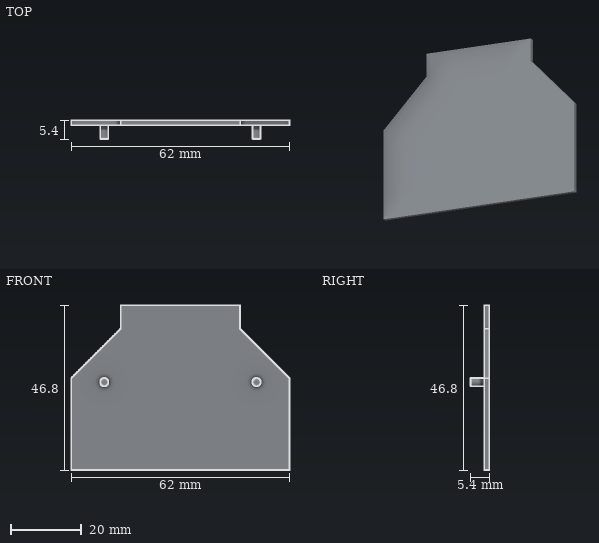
import cadquery as cq

plate_width = 62.0
plate_height = 46.8
plate_thickness = 1.5
tab_width = 33.84
side_height = 26.05
shoulder_run = (plate_width - tab_width) / 2
shoulder_top = side_height + shoulder_run

pin_diameter = 2.4
overall_depth = 5.4
pin_length = overall_depth - plate_thickness
pin_spacing = 43.2
pin_height = 24.95
pin_tip_radius = 0.3


def make_plate():
    """Flat plate with sloped shoulders and a top tab; front face at Y = 0."""
    half_width = plate_width / 2
    half_tab = tab_width / 2
    outline = [
        (-half_width, 0),
        (half_width, 0),
        (half_width, side_height),
        (half_tab, shoulder_top),
        (half_tab, plate_height),
        (-half_tab, plate_height),
        (-half_tab, shoulder_top),
        (-half_width, side_height),
    ]
    return cq.Workplane("XZ").polyline(outline).close().extrude(-plate_thickness)


def make_pin(x):
    """Round pin standing out toward -Y, with a rounded tip edge."""
    return (
        cq.Workplane("XZ")
        .center(x, pin_height)
        .circle(pin_diameter / 2)
        .extrude(pin_length)
        .faces("<Y")
        .fillet(pin_tip_radius)
    )


result = make_plate()
for side in (-1, 1):
    result = result.union(make_pin(side * pin_spacing / 2))